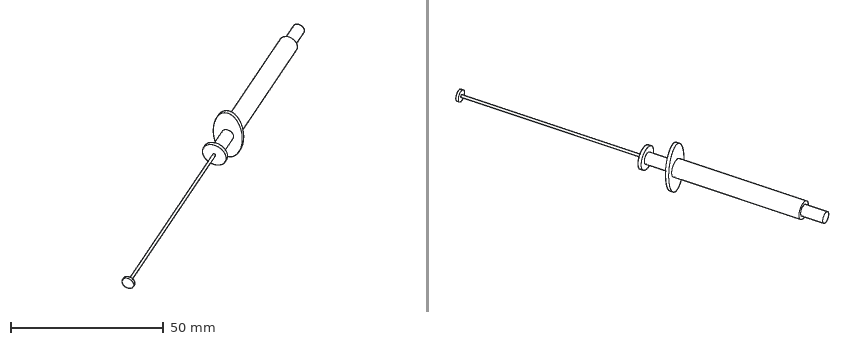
import cadquery as cq

total_length = 137.7
button_diameter = 4.3
button_thickness = 1.0
rod_diameter = 1.0
rod_length = 68.6
collar_diameter = 8.5
collar_thickness = 1.2
neck_diameter = 4.3
neck_length = 9.6
grip_width = 10.5
grip_height = 19.0
grip_thickness = 1.2
nozzle_diameter = 4.1
nozzle_length = 8.3
barrel_diameter = 6.5

button_start = -total_length / 2
rod_start = button_start + button_thickness
collar_start = rod_start + rod_length
neck_start = collar_start + collar_thickness
grip_start = neck_start + neck_length
barrel_start = grip_start + grip_thickness
nozzle_tip = total_length / 2
nozzle_start = nozzle_tip - nozzle_length


def section_plane(y):
    """Plane across the axis at y, with local x = X and normal +Y."""
    return cq.Workplane(cq.Plane(origin=(0, y, 0), xDir=(1, 0, 0), normal=(0, 1, 0)))


def cylinder(diameter, start, end):
    return section_plane(start).circle(diameter / 2).extrude(end - start)


finger_grip = section_plane(grip_start).ellipse(grip_width / 2, grip_height / 2).extrude(grip_thickness)

result = (
    cylinder(button_diameter, button_start, rod_start)
    .union(cylinder(rod_diameter, rod_start, collar_start))
    .union(cylinder(collar_diameter, collar_start, neck_start))
    .union(cylinder(neck_diameter, neck_start, grip_start))
    .union(finger_grip)
    .union(cylinder(barrel_diameter, barrel_start, nozzle_start))
    .union(cylinder(nozzle_diameter, nozzle_start, nozzle_tip))
)